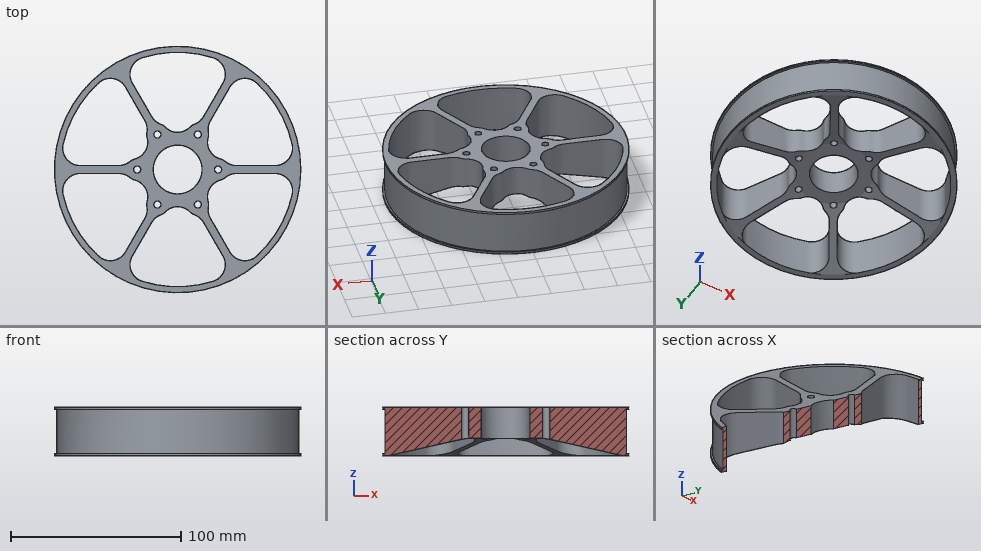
import cadquery as cq
import math

wheel_diameter = 144.8
width = 28.5
flange_height = 1.2
flange_thickness = 1.3
rim_inner_radius = 68.8

bore_diameter = 28.5
spoke_count = 6
spoke_width = 4.8
bolt_circle_radius = 23.7
bolt_hole_diameter = 4.0
boss_radius = 6.4
blend_radius = 10.1

recess_depth = 10.3
recess_floor_radius = 23.2
recess_mouth_radius = rim_inner_radius

spoke_pitch = 360 / spoke_count
half_pitch = math.radians(spoke_pitch / 2)


def beside_spoke(along, aside):
    """Point in a pocket whose axis is X, measured from the upper bounding spoke.

    `along` runs outward on the spoke centreline, `aside` runs from it into the pocket.
    """
    x = along * math.cos(half_pitch) + aside * math.sin(half_pitch)
    y = along * math.sin(half_pitch) - aside * math.cos(half_pitch)
    return (x, y)


def mirrored(point):
    return (point[0], -point[1])


def wheel_blank():
    """Solid disc with a thin flange at each end of the tread."""
    outer_radius = wheel_diameter / 2
    tread_radius = outer_radius - flange_height
    blank = cq.Workplane("XY").circle(tread_radius).extrude(width)
    for base in (0, width - flange_thickness):
        flange = cq.Workplane("XY", origin=(0, 0, base)).circle(outer_radius).extrude(flange_thickness)
        blank = blank.union(flange)
    return blank


def underside_recess():
    """Conical recess in the -Z end, flat across the hub and running out at the rim."""
    profile = (
        cq.Workplane("XZ")
        .lineTo(recess_mouth_radius, 0)
        .lineTo(recess_floor_radius, recess_depth)
        .lineTo(0, recess_depth)
        .close()
    )
    return profile.revolve(360, (0, 0, 0), (0, 1, 0))


def pocket():
    """Window between two spokes, centred on +X; all its arcs meet tangentially."""
    blend_offset = spoke_width / 2 + blend_radius
    boss_to_blend = boss_radius + blend_radius

    corner_distance = rim_inner_radius - blend_radius
    corner_angle = half_pitch - math.asin(blend_offset / corner_distance)
    rim_end = (rim_inner_radius * math.cos(corner_angle), rim_inner_radius * math.sin(corner_angle))
    spoke_outer_along = math.sqrt(corner_distance**2 - blend_offset**2)
    spoke_outer = beside_spoke(spoke_outer_along, spoke_width / 2)

    root_angle = math.asin(blend_offset / boss_to_blend)
    spoke_inner_along = bolt_circle_radius + boss_to_blend * math.cos(root_angle)
    spoke_inner = beside_spoke(spoke_inner_along, spoke_width / 2)
    boss_outer = beside_spoke(
        bolt_circle_radius + boss_radius * math.cos(root_angle),
        boss_radius * math.sin(root_angle),
    )

    boss_x, boss_y = beside_spoke(bolt_circle_radius, 0)
    valley_x = boss_x + math.sqrt(boss_to_blend**2 - boss_y**2)
    boss_share = boss_radius / boss_to_blend
    boss_inner = (boss_x + (valley_x - boss_x) * boss_share, boss_y * (1 - boss_share))
    valley_bottom = (valley_x - blend_radius, 0)

    outline = (
        cq.Workplane("XY")
        .moveTo(*mirrored(rim_end))
        .threePointArc((rim_inner_radius, 0), rim_end)
        .radiusArc(spoke_outer, -blend_radius)
        .lineTo(*spoke_inner)
        .radiusArc(boss_outer, -blend_radius)
        .radiusArc(boss_inner, boss_radius)
        .threePointArc(valley_bottom, mirrored(boss_inner))
        .radiusArc(mirrored(boss_outer), boss_radius)
        .radiusArc(mirrored(spoke_inner), -blend_radius)
        .lineTo(*mirrored(spoke_outer))
        .radiusArc(mirrored(rim_end), -blend_radius)
        .close()
    )
    return outline.extrude(width)


def bore_and_bolt_holes():
    """Through bore and one bolt hole in line with each spoke."""
    bore = cq.Workplane("XY").circle(bore_diameter / 2).extrude(width)
    bolt_holes = (
        cq.Workplane("XY")
        .polarArray(bolt_circle_radius, 0, 360, spoke_count)
        .circle(bolt_hole_diameter / 2)
        .extrude(width)
    )
    return bore.union(bolt_holes)


result = wheel_blank().cut(underside_recess()).cut(bore_and_bolt_holes())
window = pocket()
for index in range(spoke_count):
    angle = (index + 0.5) * spoke_pitch
    result = result.cut(window.rotate((0, 0, 0), (0, 0, 1), angle))